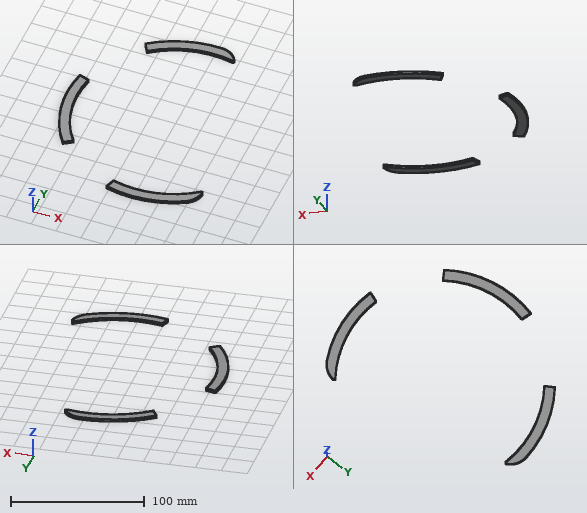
import cadquery as cq
import math

outer_radius = 86.0
strip_width = 8.0
inner_radius = outer_radius - strip_width
middle_radius = (outer_radius + inner_radius) / 2
thickness = 2.0

cut_offset = 7.0

tip_radius = 16.0
nose_radius = 1.0
tip_centre_radius = outer_radius - tip_radius

upper_cut_angle = 126.65
upper_tip_angle = 87.45
left_cut_angle = 166.9
left_span = 50.0
lower_cut_angle = 256.05
lower_tip_angle = 297.22


def polar(radius, angle, centre=(0.0, 0.0)):
    """Point at a radius and an angle in degrees about a centre."""
    turn = math.radians(angle)
    return (centre[0] + radius * math.cos(turn), centre[1] + radius * math.sin(turn))


def cut_point(radius, cut_angle):
    """Point where a skewed end cut crosses the given radius."""
    skew = math.asin(cut_offset / radius) - math.asin(cut_offset / middle_radius)
    return polar(radius, cut_angle + math.degrees(skew))


def square_strip(start_angle, end_angle):
    """Arc strip with a straight cut at both ends."""
    bow_angle = (start_angle + end_angle) / 2
    return (
        cq.Workplane("XY")
        .moveTo(*cut_point(inner_radius, start_angle))
        .lineTo(*cut_point(outer_radius, start_angle))
        .threePointArc(polar(outer_radius, bow_angle), cut_point(outer_radius, end_angle))
        .lineTo(*cut_point(inner_radius, end_angle))
        .threePointArc(polar(inner_radius, bow_angle), cut_point(inner_radius, start_angle))
        .close()
        .extrude(thickness)
    )


def pointed_strip(cut_angle, tip_angle):
    """Arc strip with a straight cut at one end and a pointed, rounded tip at the other."""
    direction = math.copysign(1, tip_angle - cut_angle)
    bow_angle = (cut_angle + tip_angle) / 2
    tip_centre = polar(tip_centre_radius, tip_angle)

    point_turn = math.degrees(math.acos(
        (tip_centre_radius**2 + inner_radius**2 - tip_radius**2) / (2 * tip_centre_radius * inner_radius)
    ))
    tip_arc_turn = math.degrees(math.acos(
        (inner_radius**2 - tip_centre_radius**2 - tip_radius**2) / (2 * tip_centre_radius * tip_radius)
    ))
    tip_point = polar(inner_radius, tip_angle + direction * point_turn)
    tip_arc_middle = polar(tip_radius, tip_angle + direction * tip_arc_turn / 2, tip_centre)

    strip = (
        cq.Workplane("XY")
        .moveTo(*cut_point(inner_radius, cut_angle))
        .lineTo(*cut_point(outer_radius, cut_angle))
        .threePointArc(polar(outer_radius, bow_angle), polar(outer_radius, tip_angle))
        .threePointArc(tip_arc_middle, tip_point)
        .threePointArc(polar(inner_radius, bow_angle), cut_point(inner_radius, cut_angle))
        .close()
        .extrude(thickness)
    )
    point_edge = cq.selectors.NearestToPointSelector((*tip_point, thickness / 2))
    return strip.edges(point_edge).fillet(nose_radius)


upper_strip = pointed_strip(upper_cut_angle, upper_tip_angle)
left_strip = square_strip(left_cut_angle, left_cut_angle + left_span)
lower_strip = pointed_strip(lower_cut_angle, lower_tip_angle)

result = cq.Compound.makeCompound([upper_strip.val(), left_strip.val(), lower_strip.val()])